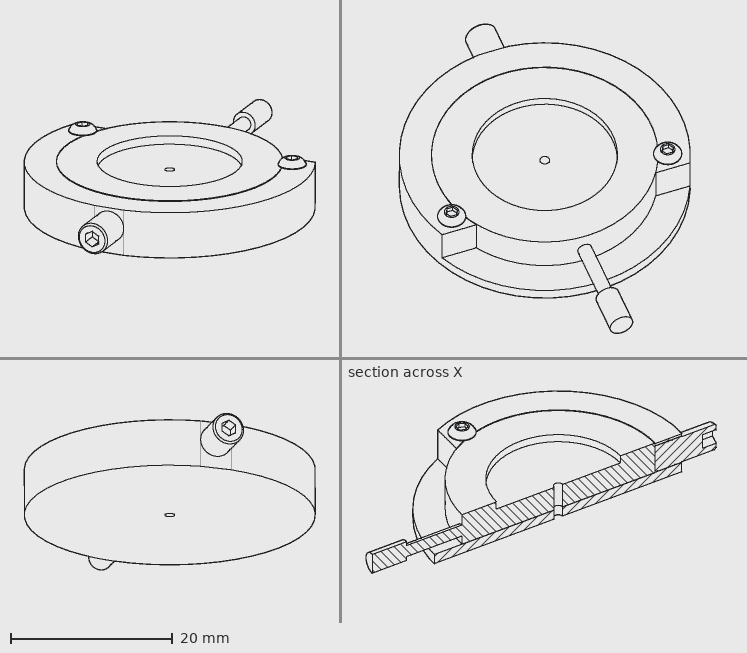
import cadquery as cq
import math

housing_radius = 18.0
housing_height = 6.0
floor_thickness = 1.5
rear_opening_y = 7.5

rotor_radius = 14.0
rotor_top = 6.1
recess_radius = 9.0
recess_depth = 1.1
aperture_diameter = 1.2
lever_axis_z = 3.6
rod_radius = 0.9
rod_embedding = 0.5
knob_radius = 1.5
knob_length = 5.0
lever_end_y = 27.0

lock_radius = 2.0
lock_axis_z = 3.55
lock_outer_y = -22.9
lock_chamfer = 0.25
lock_socket_corners = 2.05
lock_socket_depth = 2.0

retainer_x = 14.25
retainer_y = 5.25
head_radius = 1.75
head_top_radius = 0.9
head_height = 0.9
head_rim_height = 0.1
shank_radius = 1.0
shank_length = 3.0
head_socket_corners = 1.5
head_socket_depth = 0.6
dome_bulge = 0.1

retainer_positions = [(-retainer_x, retainer_y), (retainer_x, retainer_y)]


def disc(radius, bottom, top):
    """Vertical cylinder on the main axis."""
    return cq.Workplane("XY", origin=(0, 0, bottom)).circle(radius).extrude(top - bottom)


def rod_along_y(radius, start_y, end_y, axis_z):
    """Horizontal cylinder from start_y back to end_y."""
    plane = cq.Plane(origin=(0, start_y, axis_z), xDir=(1, 0, 0), normal=(0, 1, 0))
    return cq.Workplane(plane).circle(radius).extrude(end_y - start_y)


def block(x_size, y_start, y_end, z_start, z_end):
    """Box centred on X between the given Y and Z limits."""
    return (
        cq.Workplane("XY", origin=(0, (y_start + y_end) / 2, z_start))
        .box(x_size, y_end - y_start, z_end - z_start, centered=(True, True, False))
    )


def make_housing():
    tray = disc(housing_radius, 0, housing_height)
    tray = tray.cut(disc(rotor_radius, floor_thickness, housing_height))

    tray = tray.cut(
        block(2 * housing_radius, rear_opening_y, housing_radius, floor_thickness, housing_height)
    )

    flat_y = -math.sqrt(housing_radius**2 - lock_radius**2)
    tray = tray.cut(block(2 * lock_radius, -housing_radius, flat_y, 0, housing_height))

    tray = tray.cut(rod_along_y(lock_radius, -housing_radius, -rotor_radius, lock_axis_z))
    for x, y in retainer_positions:
        screw_hole = disc(shank_radius, housing_height - shank_length, housing_height)
        tray = tray.cut(screw_hole.translate((x, y, 0)))
    return tray.cut(disc(aperture_diameter / 2, 0, floor_thickness))


def make_rotor():
    rotor = disc(rotor_radius, floor_thickness, rotor_top)
    rotor = rotor.cut(disc(recess_radius, rotor_top - recess_depth, rotor_top))
    rotor = rotor.cut(disc(aperture_diameter / 2, floor_thickness, rotor_top))
    knob_start_y = lever_end_y - knob_length
    rod = rod_along_y(rod_radius, rotor_radius - rod_embedding, knob_start_y, lever_axis_z)
    knob = rod_along_y(knob_radius, knob_start_y, lever_end_y, lever_axis_z)
    return rotor.union(rod).union(knob)


def make_locking_screw():
    screw = rod_along_y(lock_radius, lock_outer_y, -rotor_radius, lock_axis_z)
    screw = screw.faces("<Y").chamfer(lock_chamfer)
    plane = cq.Plane(origin=(0, lock_outer_y, lock_axis_z), xDir=(0, 0, 1), normal=(0, 1, 0))
    socket = cq.Workplane(plane).polygon(6, lock_socket_corners).extrude(lock_socket_depth)
    return screw.cut(socket)


def make_retaining_screw(x, y):
    """Button-head screw whose head rests at the level of the rotor's top face."""
    head_top = rotor_top + head_height
    rim_top = rotor_top + head_rim_height
    dome_middle = (
        (head_radius + head_top_radius) / 2 + dome_bulge,
        (rim_top + head_top) / 2 + dome_bulge,
    )
    screw = (
        cq.Workplane("XZ")
        .moveTo(0, housing_height - shank_length)
        .lineTo(shank_radius, housing_height - shank_length)
        .lineTo(shank_radius, rotor_top)
        .lineTo(head_radius, rotor_top)
        .lineTo(head_radius, rim_top)
        .threePointArc(dome_middle, (head_top_radius, head_top))
        .lineTo(0, head_top)
        .close()
        .revolve(360, (0, 0), (0, 1))
    )
    socket = (
        cq.Workplane("XY", origin=(0, 0, head_top - head_socket_depth))
        .polygon(6, head_socket_corners)
        .extrude(head_socket_depth)
    )
    return screw.cut(socket).translate((x, y, 0))


housing = make_housing()
rotor = make_rotor()
locking_screw = make_locking_screw()
retaining_screws = [make_retaining_screw(x, y) for x, y in retainer_positions]

result = cq.Compound.makeCompound(
    [housing.val(), rotor.val(), locking_screw.val(), *[screw.val() for screw in retaining_screws]]
)